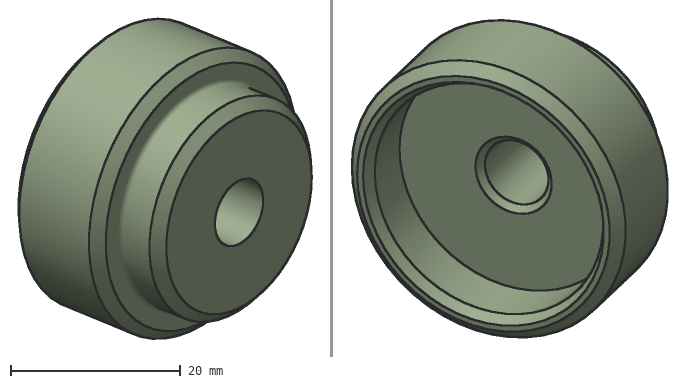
import cadquery as cq

body_diameter = 36.0
body_length = 14.0
boss_diameter = 28.0
total_length = 20.0
edge_chamfer = 1.4
boss_root_fillet = 0.6
root_tolerance = 0.05
pocket_diameter = 30.0
pocket_depth = 8.0
bore_diameter = 8.35
mouth_chamfer = 0.83
pocket_mouth_depth = 1.45
bore_mouth_depth = mouth_chamfer

body_radius = body_diameter / 2
boss_radius = boss_diameter / 2
pocket_radius = pocket_diameter / 2
bore_radius = bore_diameter / 2


def disc(radius, start, end):
    """Cylinder about the X axis between two X positions."""
    return cq.Workplane("YZ", origin=(start, 0, 0)).circle(radius).extrude(end - start)


def countersunk_cutter(radius, start, end, mouth_depth):
    """Cylindrical cutter that flares by the mouth chamfer over the mouth depth at its start."""
    flare = (
        cq.Workplane("XY")
        .moveTo(start, 0)
        .lineTo(start, radius + mouth_chamfer)
        .lineTo(start + mouth_depth, radius)
        .lineTo(start + mouth_depth, 0)
        .close()
        .revolve(360, (0, 0, 0), (1, 0, 0))
    )
    return disc(radius, start, end).union(flare)


body = disc(body_radius, 0, body_length).faces("<X or >X").edges().chamfer(edge_chamfer)

boss = disc(boss_radius, body_length, total_length).faces(">X").edges().chamfer(edge_chamfer)
root_edge = cq.selectors.BoxSelector(
    (body_length - root_tolerance, -body_radius, -body_radius),
    (body_length + root_tolerance, body_radius, body_radius),
    boundingbox=True,
)
result = body.union(boss)
root = result.edges(root_edge).edges(cq.selectors.RadiusNthSelector(0))
result = root.fillet(boss_root_fillet)

result = result.cut(countersunk_cutter(pocket_radius, 0, pocket_depth, pocket_mouth_depth))
result = result.cut(countersunk_cutter(bore_radius, pocket_depth, total_length, bore_mouth_depth))